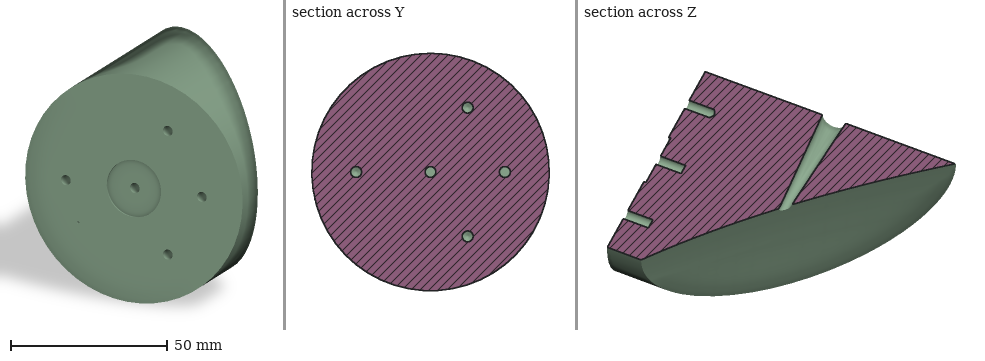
import cadquery as cq
import math

body_diameter = 76.2
body_length = 88.2
body_radius = body_diameter / 2

focal_length = 76.2
mirror_axis_x = 2 * focal_length
rim_mid_y = body_length - body_radius
mirror_centre_y = rim_mid_y - body_radius**2 / (4 * focal_length)
vertex_y = mirror_centre_y - focal_length

beam_outer_diameter = 8.1
beam_inner_diameter = 3.0

recess_diameter = 19.05
recess_depth = 0.7
hole_diameter = 3.35
hole_depth = 8.8
bolt_circle_radius = 23.8
bolt_angles = (60, 180, 300)
drill_point_angle = 118
mark_x = -19.5
mark_z = -13.6
mark_diameter = 0.8
mark_depth = 0.7

INTO_BODY = cq.Vector(0, 1, 0)


def paraboloid():
    """Solid filling the space inside the reflecting paraboloid."""
    outer_radius = mirror_axis_x + 1.2 * body_radius
    top_y = vertex_y + outer_radius**2 / (4 * focal_length)
    vertex = (mirror_axis_x, vertex_y)
    control = (mirror_axis_x - outer_radius / 2, vertex_y)
    edge = (mirror_axis_x - outer_radius, top_y)
    return (
        cq.Workplane("XY")
        .moveTo(*vertex)
        .bezier([vertex, control, edge])
        .lineTo(mirror_axis_x, top_y)
        .close()
        .revolve(360, (mirror_axis_x, 0, 0), (mirror_axis_x, 1, 0))
    )


def base_hole(x, z, diameter, depth, start_y=0.0):
    """Flat-bottomed hole going into the base."""
    start = cq.Vector(x, start_y, z)
    return cq.Workplane(cq.Solid.makeCylinder(diameter / 2, depth, start, INTO_BODY))


def drilled_hole(x, z):
    """Blind hole with a conical drill point."""
    radius = hole_diameter / 2
    point_length = radius / math.tan(math.radians(drill_point_angle / 2))
    point_start = cq.Vector(x, hole_depth, z)
    point = cq.Solid.makeCone(radius, 0, point_length, point_start, INTO_BODY)
    return base_hole(x, z, hole_diameter, hole_depth).union(cq.Workplane(point))


def beam_hole():
    """Cone narrowing from the outer wall to the mirror, then a straight exit."""
    outer_radius = beam_outer_diameter / 2
    inner_radius = beam_inner_diameter / 2
    wall = cq.Vector(-body_radius, mirror_centre_y, 0)
    centre = cq.Vector(0, mirror_centre_y, 0)
    along_x = cq.Vector(1, 0, 0)
    cone = cq.Solid.makeCone(outer_radius, inner_radius, body_radius, wall, along_x)
    straight_exit = cq.Solid.makeCylinder(inner_radius, beam_outer_diameter, centre, along_x)
    return cq.Workplane(cone).union(cq.Workplane(straight_exit))


result = base_hole(0, 0, body_diameter, body_length).cut(paraboloid())
result = result.cut(beam_hole())

result = result.cut(base_hole(0, 0, recess_diameter, recess_depth))
result = result.cut(base_hole(0, 0, hole_diameter, hole_depth, recess_depth))

for angle in bolt_angles:
    bolt_x = bolt_circle_radius * math.cos(math.radians(angle))
    bolt_z = bolt_circle_radius * math.sin(math.radians(angle))
    result = result.cut(drilled_hole(bolt_x, bolt_z))
result = result.cut(base_hole(bolt_circle_radius, 0, hole_diameter, hole_depth))

result = result.cut(base_hole(mark_x, mark_z, mark_diameter, mark_depth))